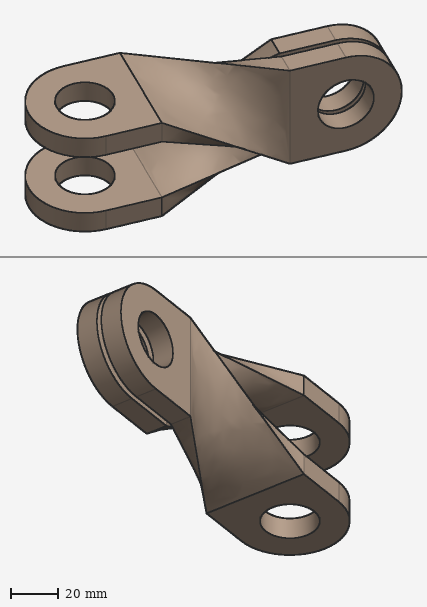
import cadquery as cq

total_length = 165.1
lug_width = 50.9
lug_thickness = 10.2
hole_diameter = 25.5
upright_gap = 2.3

end_radius = lug_width / 2
lug_length = lug_width
lug_joint_y = total_length / 2 - lug_length
upright_offset = (upright_gap + lug_thickness) / 2
flat_offset = (lug_width - lug_thickness) / 2


def make_lug():
    """Lug in the XY plane, centred on Z, with its square end at Y = 0 and its round end toward +Y."""
    straight_length = lug_length - end_radius
    return (
        cq.Workplane("XY")
        .workplane(offset=-lug_thickness / 2)
        .moveTo(-end_radius, 0)
        .lineTo(end_radius, 0)
        .lineTo(end_radius, straight_length)
        .threePointArc((0, lug_length), (-end_radius, straight_length))
        .close()
        .moveTo(0, straight_length)
        .circle(hole_diameter / 2)
        .extrude(lug_thickness)
    )


def make_twisted_web():
    """Web turning a quarter turn, with ruled sides, from the upright lug to the flat lug."""
    half_width = lug_width / 2
    half_thickness = lug_thickness / 2
    corner_signs = [(1, 1), (-1, 1), (-1, -1), (1, -1)]
    upright_corners = [
        cq.Vector(upright_offset + side * half_thickness, lug_joint_y, end * half_width)
        for side, end in corner_signs
    ]
    flat_corners = [
        cq.Vector(-end * half_width, -lug_joint_y, flat_offset + side * half_thickness)
        for side, end in corner_signs
    ]
    faces = [
        cq.Face.makeFromWires(cq.Wire.makePolygon(corners, close=True))
        for corners in (upright_corners, flat_corners)
    ]
    for i in range(len(corner_signs)):
        following = (i + 1) % len(corner_signs)
        upright_edge = cq.Edge.makeLine(upright_corners[i], upright_corners[following])
        flat_edge = cq.Edge.makeLine(flat_corners[i], flat_corners[following])
        faces.append(cq.Face.makeRuledSurface(upright_edge, flat_edge))
    return cq.Workplane(cq.Solid.makeSolid(cq.Shell.makeShell(faces)))


def make_twisted_link():
    """Link with its upright lug on the +X side and its flat lug on the +Z side."""
    upright_lug = (
        make_lug()
        .rotate((0, 0, 0), (0, 1, 0), 90)
        .translate((upright_offset, lug_joint_y, 0))
    )
    flat_lug = (
        make_lug()
        .rotate((0, 0, 0), (0, 0, 1), 180)
        .translate((0, -lug_joint_y, flat_offset))
    )
    return make_twisted_web().union(upright_lug).union(flat_lug)


links = [
    make_twisted_link().rotate((0, 0, 0), (0, 1, 0), turn)
    for turn in (0, 180)
]

result = cq.Compound.makeCompound([link.solids().val() for link in links])